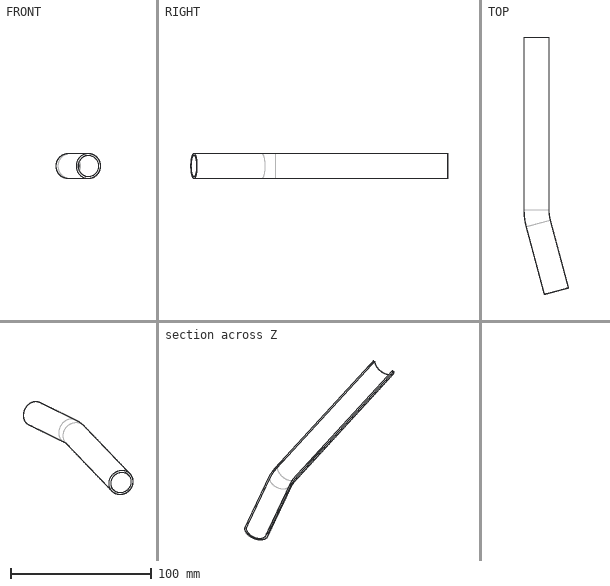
import cadquery as cq
import math

overall_length = 183.5
outer_diameter = 18.0
inner_diameter = 15.0
bend_angle = 15.0
bend_radius = 38.0
short_leg = 50.0

angle = math.radians(bend_angle)
outer_radius = outer_diameter / 2
bend_reach = bend_radius * math.sin(angle)
short_leg_reach = short_leg * math.cos(angle) + outer_radius * math.sin(angle)
long_leg = overall_length - bend_reach - short_leg_reach


def bend_point(turned):
    """Centreline point after turning by the given angle, with the bend starting at the origin."""
    return (bend_radius * (1 - math.cos(turned)), -bend_radius * math.sin(turned))


bend_end = bend_point(angle)
short_leg_end = (
    bend_end[0] + short_leg * math.sin(angle),
    bend_end[1] - short_leg * math.cos(angle),
)
centreline = (
    cq.Workplane("XY")
    .moveTo(0, long_leg)
    .lineTo(0, 0)
    .threePointArc(bend_point(angle / 2), bend_end)
    .lineTo(*short_leg_end)
)

result = (
    cq.Workplane("XZ", origin=(0, long_leg, 0))
    .circle(outer_radius)
    .circle(inner_diameter / 2)
    .sweep(centreline)
)